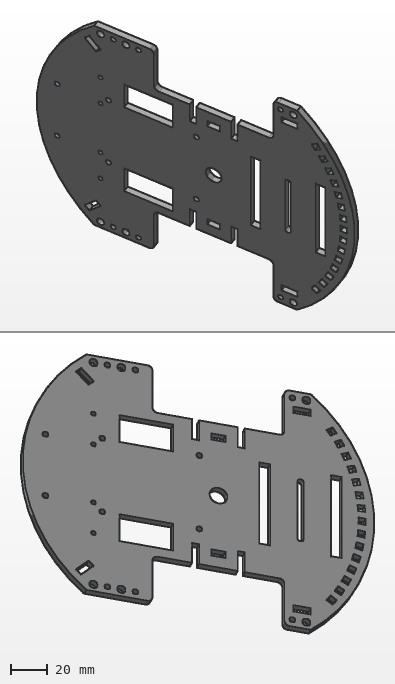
import cadquery as cq
import math

thickness = 4.0
disc_radius = 100.0
plate_half_height = 77.0

axle_x = 11.3
recess_width = 75.0
recess_floor_z = 47.0
recess_corner_radius = 3.0

notch_width = 4.0
notch_floor_z = 34.0
notch_offset_x = 13.0

centre_hole_diameter = 10.0
axle_slot_size = (8.0, 4.0)
axle_slot_z = 37.9

window_size = (30.5, 17.5)
window_centre = (-29.7, 32.4)

tab_slot_size = (10.0, 4.0)
front_tab_slot_centre = (58.9, 64.9)
rear_tab_slot_centre = (-64.7, 62.5)
rear_tab_slot_angle = -45.0

long_slot_size = (6.0, 53.0)
long_slot_xs = (37.6, 78.4)
round_slot_length = 40.5
round_slot_width = 3.5
round_slot_x = (long_slot_xs[0] + long_slot_xs[1]) / 2

sensor_count = 15
sensor_size = 4.0
sensor_arc_radius = 96.0
sensor_arc_centre_x = -3.0
sensor_pitch_angle = 5.0

edge_hole_z = 72.5
edge_hole_pitch = 7.95
rear_edge_x = -59.8
front_edge_x = 61.3
large_hole_diameter = 4.6
large_hole_points = [
    (rear_edge_x, edge_hole_z),
    (rear_edge_x + 2 * edge_hole_pitch, edge_hole_z),
    (front_edge_x, edge_hole_z),
]
medium_hole_diameter = 3.2
medium_hole_points = [
    (rear_edge_x + edge_hole_pitch, edge_hole_z),
    (rear_edge_x + 3 * edge_hole_pitch, edge_hole_z),
    (front_edge_x - edge_hole_pitch, edge_hole_z),
    (-54.8, 24.0),
    (0.4, 24.0),
    (-87.1, 20.0),
]
small_hole_diameter = 2.6
small_hole_points = [(-59.8, 39.0), (-59.8, 19.0)]


def plane_xz():
    """Sketch plane on the Y = +thickness/2 face; extrusion runs toward -Y."""
    return cq.Workplane("XZ", origin=(0, thickness / 2, 0))


def mirrored(points):
    """The given (x, z) points together with their mirror images about Z = 0."""
    return [(x, side * z) for x, z in points for side in (1, -1)]


def block(size, centre, angle=0.0):
    """Rectangular through-cutter turned by angle (degrees, from +X toward +Z)."""
    sketch = plane_xz().center(*centre).transformed(rotate=(0, 0, angle))
    return sketch.rect(*size).extrude(thickness)


def block_pair(size, centre, angle=0.0):
    """Rectangular through-cutter and its mirror image about Z = 0."""
    x, z = centre
    return block(size, (x, z), angle).union(block(size, (x, -z), -angle))


def open_block_pair(width, centre_x, floor_z):
    """Cutters from floor_z out to the top edge, and likewise to the bottom edge."""
    height = plate_half_height - floor_z
    return block_pair((width, height), (centre_x, floor_z + height / 2))


def make_outline():
    flat_half_width = math.sqrt(disc_radius**2 - plate_half_height**2)
    plate = (
        plane_xz()
        .moveTo(-flat_half_width, plate_half_height)
        .lineTo(flat_half_width, plate_half_height)
        .threePointArc((disc_radius, 0), (flat_half_width, -plate_half_height))
        .lineTo(-flat_half_width, -plate_half_height)
        .threePointArc((-disc_radius, 0), (-flat_half_width, plate_half_height))
        .close()
        .extrude(thickness)
    )
    plate = plate.cut(open_block_pair(recess_width, axle_x, recess_floor_z))
    margin = recess_corner_radius / 2
    recess_edges = cq.selectors.BoxSelector(
        (axle_x - recess_width / 2 - margin, -thickness, -plate_half_height - margin),
        (axle_x + recess_width / 2 + margin, thickness, plate_half_height + margin),
    )
    return plate.edges("|Y").edges(recess_edges).fillet(recess_corner_radius)


def cut_notches(plate):
    for side in (1, -1):
        notch_x = axle_x + side * notch_offset_x
        plate = plate.cut(open_block_pair(notch_width, notch_x, notch_floor_z))
    return plate


def cut_windows_and_tab_slots(plate):
    plate = plate.cut(block_pair(window_size, window_centre))
    plate = plate.cut(block_pair(axle_slot_size, (axle_x, axle_slot_z)))
    plate = plate.cut(block_pair(tab_slot_size, front_tab_slot_centre))
    return plate.cut(block_pair(tab_slot_size, rear_tab_slot_centre, rear_tab_slot_angle))


def cut_long_slots(plate):
    for x in long_slot_xs:
        plate = plate.cut(block(long_slot_size, (x, 0)))
    round_slot = plane_xz().center(round_slot_x, 0).slot2D(round_slot_length, round_slot_width, 90)
    return plate.cut(round_slot.extrude(thickness))


def cut_sensor_holes(plate):
    first_angle = -sensor_pitch_angle * (sensor_count - 1) / 2
    for index in range(sensor_count):
        angle = first_angle + index * sensor_pitch_angle
        x = sensor_arc_centre_x + sensor_arc_radius * math.cos(math.radians(angle))
        z = sensor_arc_radius * math.sin(math.radians(angle))
        plate = plate.cut(block((sensor_size, sensor_size), (x, z), angle))
    return plate


def cut_round_holes(plate):
    hole_groups = [
        (centre_hole_diameter, [(axle_x, 0)]),
        (large_hole_diameter, mirrored(large_hole_points)),
        (medium_hole_diameter, mirrored(medium_hole_points)),
        (small_hole_diameter, mirrored(small_hole_points)),
    ]
    for diameter, points in hole_groups:
        plate = plate.cut(plane_xz().pushPoints(points).circle(diameter / 2).extrude(thickness))
    return plate


plate = make_outline()
plate = cut_notches(plate)
plate = cut_windows_and_tab_slots(plate)
plate = cut_long_slots(plate)
plate = cut_sensor_holes(plate)
result = cut_round_holes(plate)